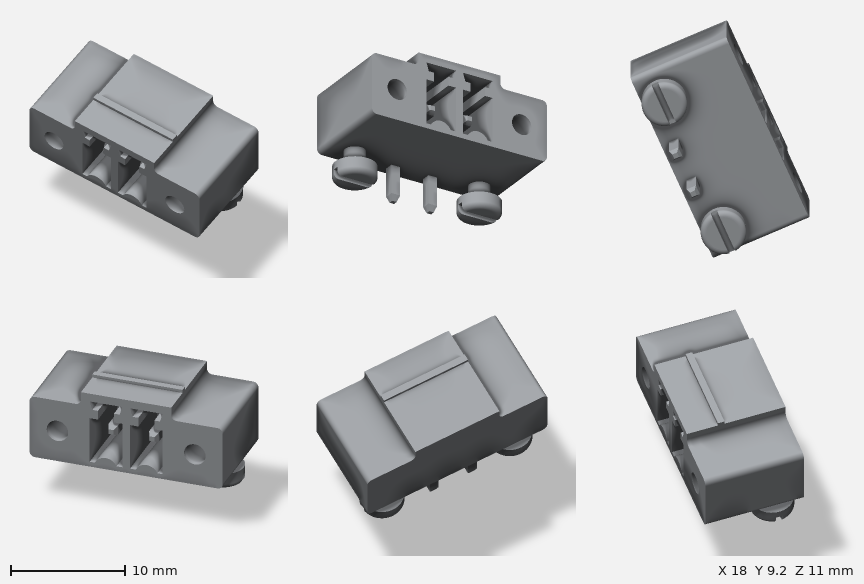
import cadquery as cq

BODY_WIDTH = 18.01
BODY_DEPTH = 9.2
FLANGE_HEIGHT = 6.0
CENTRE_WIDTH = 8.42
CENTRE_HEIGHT = 7.25
EDGE_RADIUS = 0.5

RIDGE_FRONT = 2.9
RIDGE_DEPTH = 0.62
RIDGE_HEIGHT = 0.3

PITCH = 3.81
PIN_SIZE = 0.9
PIN_TIP_SIZE = 0.45
PIN_FRONT_TAPER = 0.5
PIN_LEG_TAPER = 0.6
AXIS_HEIGHT = FLANGE_HEIGHT / 2
PIN_FRONT = 1.4
PIN_LEG_Y = 8.0
PIN_LEG_BOTTOM = -3.4

DIVIDER = 0.72
CHAMBER_WIDTH = 3.04
CHAMBER_DEPTH = 7.0
CHAMBER_FLOOR = 0.48
CHAMBER_TOP = 6.48
LUG_BOTTOM = 4.81
LUG_TOP = 5.68
NECK_WIDTH = 1.49
DOVETAIL_BASE_WIDTH = 2.55
BUMP_WIDTH = 2.0
BUMP_HEIGHT = 0.635

SCREW_SPACING = 12.81
BORE_DIAMETER = 2.0
BORE_DEPTH = 5.0
SCREW_Y = 7.1
SHANK_DIAMETER = 2.0
SHANK_LENGTH = 1.5
HEAD_DIAMETER = 4.0
HEAD_HEIGHT = 1.5
HEAD_RADIUS = 0.5
SLOT_WIDTH = 0.62
SLOT_DEPTH = 0.8

SIDES = (-1, 1)


def make_housing():
    """Stepped block with rounded flange edges and a ridge on top."""
    flange = cq.Workplane("XY").box(BODY_WIDTH, BODY_DEPTH, FLANGE_HEIGHT, centered=(True, False, False))
    flange = flange.edges("|Y").fillet(EDGE_RADIUS)
    centre = cq.Workplane("XY").box(CENTRE_WIDTH, BODY_DEPTH, CENTRE_HEIGHT, centered=(True, False, False))
    ridge = (
        cq.Workplane("XY", origin=(0, RIDGE_FRONT, CENTRE_HEIGHT))
        .box(CENTRE_WIDTH, RIDGE_DEPTH, RIDGE_HEIGHT, centered=(True, False, False))
    )
    housing = flange.union(centre)
    inner_corner = cq.selectors.BoxSelector(
        (-CENTRE_WIDTH / 2 - EDGE_RADIUS, 0, FLANGE_HEIGHT - EDGE_RADIUS),
        (CENTRE_WIDTH / 2 + EDGE_RADIUS, BODY_DEPTH, FLANGE_HEIGHT + EDGE_RADIUS),
    )
    housing = housing.edges("|Y").edges(inner_corner).fillet(EDGE_RADIUS)
    return housing.union(ridge)


def make_chamber(side):
    """Volume of one plug chamber: keyed outline with a rounded bump on its floor."""
    centre = side * (DIVIDER + CHAMBER_WIDTH) / 2
    bump_centre = side * PITCH / 2
    half_width = CHAMBER_WIDTH / 2
    half_neck = NECK_WIDTH / 2
    half_base = DOVETAIL_BASE_WIDTH / 2
    half_bump = BUMP_WIDTH / 2
    return (
        cq.Workplane("XZ")
        .moveTo(centre - half_width, CHAMBER_FLOOR)
        .lineTo(bump_centre - half_bump, CHAMBER_FLOOR)
        .threePointArc(
            (bump_centre, CHAMBER_FLOOR + BUMP_HEIGHT),
            (bump_centre + half_bump, CHAMBER_FLOOR),
        )
        .lineTo(centre + half_width, CHAMBER_FLOOR)
        .lineTo(centre + half_width, LUG_BOTTOM)
        .lineTo(centre + half_neck, LUG_BOTTOM)
        .lineTo(centre + half_neck, LUG_TOP)
        .lineTo(centre + half_base, LUG_TOP)
        .lineTo(centre + half_width, CHAMBER_TOP)
        .lineTo(centre - half_width, CHAMBER_TOP)
        .lineTo(centre - half_base, LUG_TOP)
        .lineTo(centre - half_neck, LUG_TOP)
        .lineTo(centre - half_neck, LUG_BOTTOM)
        .lineTo(centre - half_width, LUG_BOTTOM)
        .close()
        .extrude(-CHAMBER_DEPTH)
    )


def make_tapered_bar(plane, length, taper):
    """Square bar that runs along the plane normal and ends in a tapered tip."""
    straight = length - taper
    bar = cq.Workplane(plane).rect(PIN_SIZE, PIN_SIZE).extrude(straight)
    tip = (
        cq.Workplane(plane)
        .workplane(offset=straight)
        .rect(PIN_SIZE, PIN_SIZE)
        .workplane(offset=taper)
        .rect(PIN_TIP_SIZE, PIN_TIP_SIZE)
        .loft()
    )
    return bar.union(tip)


def make_contact(side):
    """Right-angle contact: one bar toward the plug, one down to the board."""
    bend = (side * PITCH / 2, PIN_LEG_Y, AXIS_HEIGHT)
    forward_plane = cq.Plane(bend, xDir=(1, 0, 0), normal=(0, -1, 0))
    down_plane = cq.Plane(bend, xDir=(1, 0, 0), normal=(0, 0, -1))
    forward = make_tapered_bar(forward_plane, PIN_LEG_Y - PIN_FRONT, PIN_FRONT_TAPER)
    down = make_tapered_bar(down_plane, AXIS_HEIGHT - PIN_LEG_BOTTOM, PIN_LEG_TAPER)
    return forward.union(down)


def make_bore(side):
    """Blind bore in the front face of a flange."""
    return (
        cq.Workplane("XZ", origin=(side * SCREW_SPACING / 2, 0, AXIS_HEIGHT))
        .circle(BORE_DIAMETER / 2)
        .extrude(-BORE_DEPTH)
    )


def make_screw(side):
    """Slotted screw below a flange, head downward."""
    x = side * SCREW_SPACING / 2
    head_bottom = -SHANK_LENGTH - HEAD_HEIGHT
    shank = cq.Workplane("XY", origin=(x, SCREW_Y, 0)).circle(SHANK_DIAMETER / 2).extrude(-SHANK_LENGTH)
    head = (
        cq.Workplane("XY", origin=(x, SCREW_Y, head_bottom))
        .circle(HEAD_DIAMETER / 2)
        .extrude(HEAD_HEIGHT)
        .faces("<Z")
        .edges()
        .fillet(HEAD_RADIUS)
    )
    slot = (
        cq.Workplane("XY", origin=(x, SCREW_Y, head_bottom))
        .box(HEAD_DIAMETER, SLOT_WIDTH, SLOT_DEPTH, centered=(True, True, False))
    )
    return shank.union(head.cut(slot))


result = make_housing()
for side in SIDES:
    result = result.cut(make_chamber(side)).cut(make_bore(side))
for side in SIDES:
    result = result.union(make_contact(side)).union(make_screw(side))